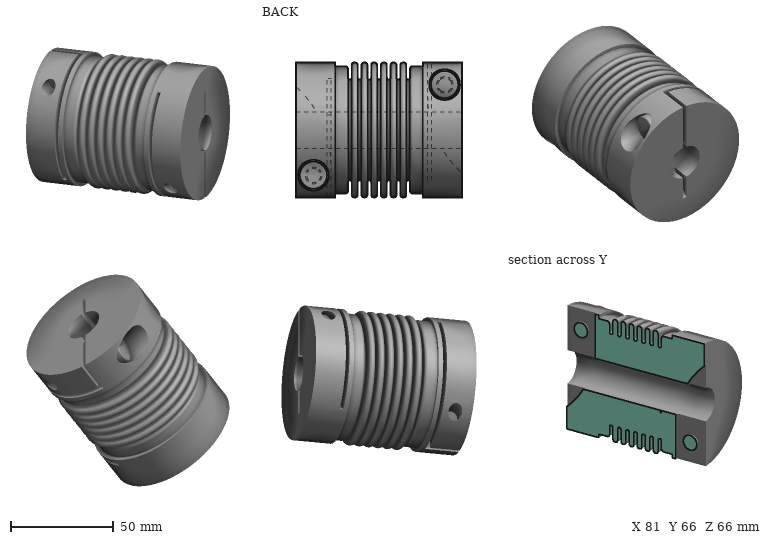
import cadquery as cq
import math


length = 81.0
mid_x = length / 2
outer_diameter = 66.0
outer_radius = outer_diameter / 2
bore_radius = 9.0
hub_length = 19.1

collar_radius = 31.1
collar_edge_radius = 1.45

crest_count = 6
groove_span = 28.4
pitch = groove_span / crest_count
groove_width = 1.7
groove_radius = groove_width / 2
crest_radius = pitch / 2 - groove_radius
groove_floor_radius = 24.55
bellows_start_x = mid_x - groove_span / 2 - groove_radius

saw_radius = 50.0
saw_centre_z = 16.4
slot_width = 2.1
cross_slot_width = 1.9
slot_depth = 16.85
cut_clearance = 0.8

screw_x = 8.5
screw_z = 22.1
screw_radius = 4.05
screw_length = 25.1
tapped_radius = 3.4
counterbore_radius = 7.5
head_radius = 6.65
head_height = 8.1
head_end_y = 17.8
head_edge_radius = 0.8
head_seat_y = head_end_y - head_height
screw_tip_y = head_seat_y - screw_length


def quarter_point(centre_x, centre_r, radius):
    """Middle of the arc that faces +X and away from the axis."""
    offset = radius * math.sqrt(0.5)
    return (centre_x + offset, centre_r + offset)


def make_body():
    """Revolve the outline of the hubs, collars and bellows about the X axis."""
    bellows_end_x = length - bellows_start_x
    edge_x = bellows_start_x - collar_edge_radius
    edge_r = collar_radius - collar_edge_radius
    arc_x, arc_r = quarter_point(edge_x, edge_r, collar_edge_radius)
    groove_r = groove_floor_radius + groove_radius
    crest_r = outer_radius - crest_radius

    outline = (
        cq.Workplane("XY")
        .moveTo(0, bore_radius)
        .lineTo(0, outer_radius)
        .lineTo(hub_length, outer_radius)
        .lineTo(hub_length, collar_radius)
        .lineTo(edge_x, collar_radius)
        .threePointArc((arc_x, arc_r), (bellows_start_x, edge_r))
    )
    for i in range(crest_count + 1):
        groove_x = bellows_start_x + groove_radius + i * pitch
        outline = outline.lineTo(groove_x - groove_radius, groove_r).threePointArc(
            (groove_x, groove_floor_radius), (groove_x + groove_radius, groove_r)
        )
        if i < crest_count:
            crest_x = groove_x + pitch / 2
            outline = outline.lineTo(crest_x - crest_radius, crest_r).threePointArc(
                (crest_x, outer_radius), (crest_x + crest_radius, crest_r)
            )
    outline = (
        outline.lineTo(bellows_end_x, edge_r)
        .threePointArc((length - arc_x, arc_r), (length - edge_x, collar_radius))
        .lineTo(length - hub_length, collar_radius)
        .lineTo(length - hub_length, outer_radius)
        .lineTo(length, outer_radius)
        .lineTo(length, bore_radius)
        .close()
    )
    return outline.revolve(360, (0, 0, 0), (1, 0, 0))


def saw_cut(plane, reach, thickness):
    """Sawn slot: straight down to the saw centre, then following the saw's edge.

    The deepest point lies at `reach` along the plane's first axis, and the cut
    is as thick as `thickness` along the plane's normal, starting at its origin.
    """
    centre = reach - saw_radius
    top = outer_radius + cut_clearance
    diagonal = saw_radius * math.sqrt(0.5)
    return (
        cq.Workplane(plane)
        .moveTo(centre, top)
        .lineTo(reach, top)
        .lineTo(reach, saw_centre_z)
        .threePointArc(
            (centre + diagonal, saw_centre_z - diagonal),
            (centre, saw_centre_z - saw_radius),
        )
        .close()
        .extrude(thickness)
    )


def screw_cylinder(radius, start_y, end_y):
    """Cylinder on the axis of the clamping screw."""
    axis_start = cq.Vector(screw_x, start_y, screw_z)
    cylinder = cq.Solid.makeCylinder(radius, end_y - start_y, axis_start, cq.Vector(0, 1, 0))
    return cq.Workplane(obj=cylinder)


def hub_cuts():
    """Axial slot, cross slot and screw holes of the left hub."""
    axial_plane = cq.Plane((0, slot_width / 2, 0), (1, 0, 0), (0, -1, 0))
    cross_plane = cq.Plane((slot_depth - cross_slot_width, 0, 0), (0, 1, 0), (1, 0, 0))
    return [
        saw_cut(axial_plane, slot_depth, slot_width),
        saw_cut(cross_plane, slot_width / 2, cross_slot_width),
        screw_cylinder(counterbore_radius, head_seat_y, outer_radius),
        screw_cylinder(tapped_radius, -outer_radius, screw_tip_y),
    ]


def make_screw():
    """Clamping screw with its head resting on the counterbore seat."""
    head = screw_cylinder(head_radius, head_seat_y, head_end_y).faces(">Y").edges().fillet(head_edge_radius)
    return head.union(screw_cylinder(screw_radius, screw_tip_y, head_seat_y))


def on_right_hub(shape):
    """Turn a left hub feature half a revolution onto the right hub."""
    return shape.rotate((mid_x, 0, 0), (mid_x, 1, 0), 180)


result = make_body()
for cut in hub_cuts():
    result = result.cut(cut).cut(on_right_hub(cut))

screw = make_screw()
result = result.union(screw).union(on_right_hub(screw))